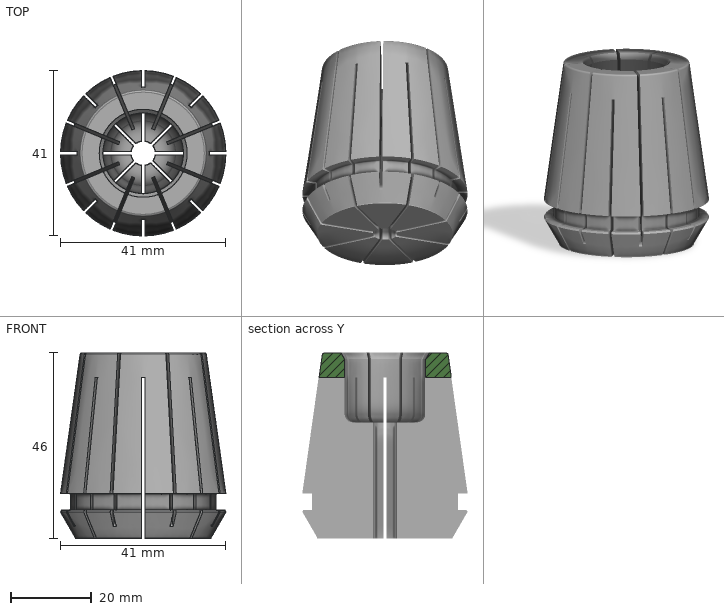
import cadquery as cq
import math

height = 46.0
max_diameter = 41.0
max_radius = max_diameter / 2
taper_angle = 8.0
top_edge_fillet = 0.5

nose_angle = 30.0
nose_lip_height = 0.2
collar_z = 6.6
collar_chamfer_width = 0.28
collar_chamfer_height = 0.45
groove_bottom_z = collar_z + collar_chamfer_height
groove_top_z = 11.15
groove_radius = 18.1
groove_root_fillet = 0.2

hole_radius = 3.0
bore_radius = 10.0
bore_floor_z = 28.75
bore_floor_fillet = 2.0
bore_chamfer_width = 0.9
bore_chamfer_depth = 1.6

slots_per_end = 8
slot_width = 0.8
bottom_slot_top_z = 39.9
top_slot_end_z = 3.05
top_slot_floor_angle = 65.0

taper_slope = math.tan(math.radians(taper_angle))
nose_slope = math.tan(math.radians(nose_angle))
top_slot_floor_slope = math.tan(math.radians(top_slot_floor_angle))
top_radius = max_radius - (height - groove_top_z) * taper_slope
nose_radius = max_radius - (collar_z - nose_lip_height) * nose_slope
top_slot_end_radius = max_radius - (collar_z - top_slot_end_z) * nose_slope
slot_spacing = 360.0 / slots_per_end


def collet_body():
    """Revolve the double cone with its extraction groove."""
    body = (
        cq.Workplane("XZ")
        .moveTo(0, 0)
        .lineTo(nose_radius, 0)
        .lineTo(nose_radius, nose_lip_height)
        .lineTo(max_radius, collar_z)
        .lineTo(max_radius - collar_chamfer_width, groove_bottom_z)
        .lineTo(groove_radius + groove_root_fillet, groove_bottom_z)
        .radiusArc((groove_radius, groove_bottom_z + groove_root_fillet), groove_root_fillet)
        .lineTo(groove_radius, groove_top_z - groove_root_fillet)
        .radiusArc((groove_radius + groove_root_fillet, groove_top_z), groove_root_fillet)
        .lineTo(max_radius, groove_top_z)
        .lineTo(top_radius, height)
        .lineTo(0, height)
        .close()
        .revolve(360, (0, 0), (0, 1))
    )
    return body.faces(">Z").edges().fillet(top_edge_fillet)


def bore():
    """Wide round-bottomed bore from the top, continued by a small through hole."""
    wide_bore = (
        cq.Workplane("XY", origin=(0, 0, bore_floor_z))
        .circle(bore_radius)
        .extrude(height - bore_floor_z)
        .faces("<Z")
        .edges()
        .fillet(bore_floor_fillet)
    )
    mouth = cq.Workplane(
        cq.Solid.makeCone(
            bore_radius,
            bore_radius + bore_chamfer_width,
            bore_chamfer_depth,
            cq.Vector(0, 0, height - bore_chamfer_depth),
        )
    )
    hole = cq.Workplane("XY").circle(hole_radius).extrude(height)
    return wide_bore.union(mouth).union(hole)


def bottom_slot():
    """Radial slot along +X, open at the bottom and stopping short of the top."""
    return cq.Workplane("XY").box(
        max_radius, slot_width, bottom_slot_top_z, centered=(False, True, False)
    )


def top_slot():
    """Radial slot along +X, open at the top, whose floor falls steeply outward to the nose cone."""
    inner_end_z = top_slot_end_z + top_slot_end_radius * top_slot_floor_slope
    outer_end_z = top_slot_end_z - (max_radius - top_slot_end_radius) * top_slot_floor_slope
    return (
        cq.Workplane("XZ")
        .polyline([(0, inner_end_z), (max_radius, outer_end_z), (max_radius, height), (0, height)])
        .close()
        .extrude(slot_width / 2, both=True)
    )


result = collet_body().cut(bore())
for index in range(slots_per_end):
    angle = index * slot_spacing
    result = result.cut(bottom_slot().rotate((0, 0, 0), (0, 0, 1), angle))
    result = result.cut(top_slot().rotate((0, 0, 0), (0, 0, 1), angle + slot_spacing / 2))